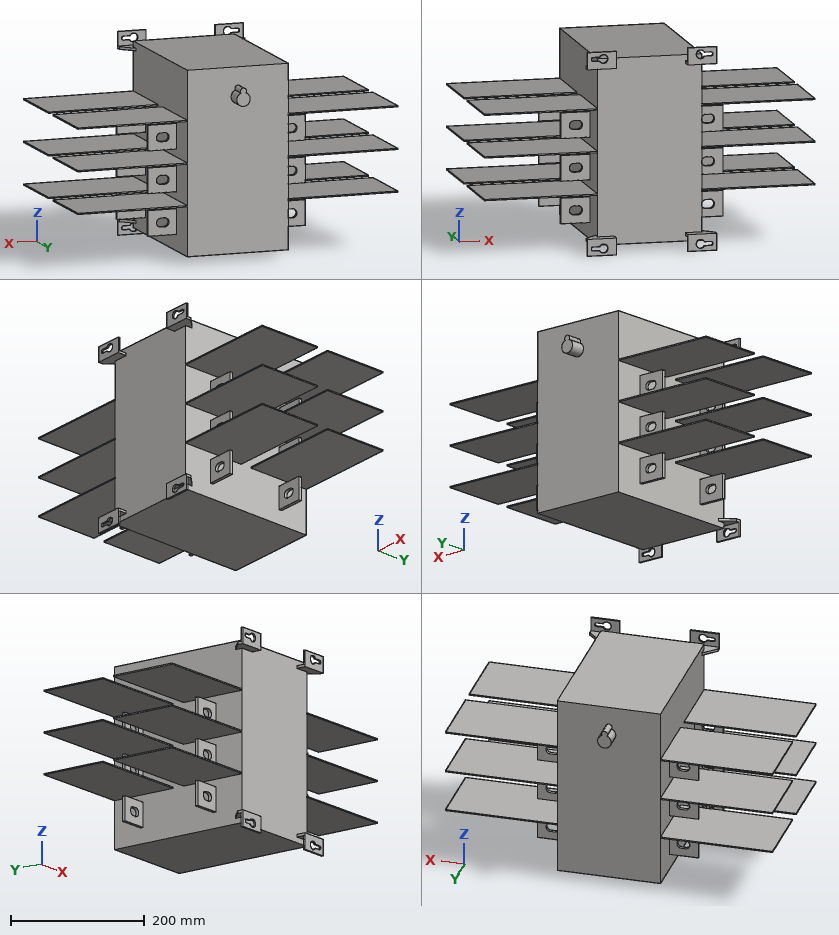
import cadquery as cq

body_width = 161.0
body_depth = 240.0
body_height = 285.0
overall_height = 311.0
body_side = body_width / 2
body_front = -body_depth / 2
body_back = body_depth / 2
body_top = body_height / 2

barrier_span = 509.0
barrier_thickness = 2.0
barrier_gap = 20.0
barrier_depth = (body_depth - barrier_gap) / 2
pole_pitch = 65.0
pole_count = 3

terminal_span = 250.5
terminal_height = 39.0
terminal_thickness = 5.0
terminal_spacing = 137.0
terminal_slot_spacing = 203.5
terminal_slot_length = 20.0
terminal_slot_width = 13.5

bracket_reach = 100.0
bracket_width = 45.0
bracket_inner = bracket_reach - bracket_width
bracket_projection = 16.0
bracket_overhang = (overall_height - body_height) / 2
bracket_height = 26.0
plate_thickness = 3.0
leg_thickness = 4.0
bracket_front = body_front - bracket_projection
bracket_top = body_top + bracket_overhang
bracket_bottom = bracket_top - bracket_height
bracket_straight_edge = 9.0

keyhole_x = 75.0
keyhole_drop = 10.5
keyhole_diameter = 13.0
keyhole_slot_width = 6.0
keyhole_slot_end = 93.5
keyhole_slot_length = keyhole_slot_end - keyhole_x

shaft_radius = 10.5
shaft_length = 25.0
shaft_z = 97.0
rib_radius = 4.85
rib_top = 17.5


def block(width, depth, height, centre):
    return cq.Workplane("XY").box(width, depth, height).translate(centre)


def pole_level(index):
    """Height of a barrier, counted from the top pole down."""
    return ((pole_count - 1) / 2 - index) * pole_pitch


def barriers(level):
    barrier_y = (barrier_gap + barrier_depth) / 2
    front = block(barrier_span, barrier_depth, barrier_thickness, (0, -barrier_y, level))
    back = block(barrier_span, barrier_depth, barrier_thickness, (0, barrier_y, level))
    return front.union(back)


def terminals(level):
    """Front and back bars run through the housing and carry a slot at each end."""
    slots = (
        cq.Workplane("XZ")
        .pushPoints([(-terminal_slot_spacing / 2, level), (terminal_slot_spacing / 2, level)])
        .slot2D(terminal_slot_length, terminal_slot_width)
        .extrude(body_depth, both=True)
    )
    front_y = -terminal_spacing / 2
    back_y = terminal_spacing / 2
    front = block(terminal_span, terminal_thickness, terminal_height, (0, front_y, level))
    back = block(terminal_span, terminal_thickness, terminal_height, (0, back_y, level))
    return front.union(back).cut(slots)


def bracket():
    """Upper right bracket: upright plate with a keyhole, and a leg tapering at 45 degrees."""
    plate = block(
        bracket_width,
        plate_thickness,
        bracket_height,
        (
            bracket_inner + bracket_width / 2,
            bracket_front + plate_thickness / 2,
            bracket_bottom + bracket_height / 2,
        ),
    )
    taper_start = bracket_front + bracket_straight_edge
    taper_end = taper_start + bracket_reach - body_side
    leg = (
        cq.Workplane("XY", origin=(0, 0, bracket_bottom))
        .moveTo(bracket_inner, bracket_front)
        .lineTo(bracket_reach, bracket_front)
        .lineTo(bracket_reach, taper_start)
        .lineTo(body_side, taper_end)
        .lineTo(bracket_inner, taper_end)
        .close()
        .extrude(leg_thickness)
    )
    keyhole_plane = cq.Workplane("XZ", origin=(keyhole_x, bracket_front, bracket_top - keyhole_drop))
    keyhole = keyhole_plane.circle(keyhole_diameter / 2).extrude(-plate_thickness)
    keyhole_slot = (
        keyhole_plane.center(keyhole_slot_length / 2, 0)
        .slot2D(keyhole_slot_length, keyhole_slot_width)
        .extrude(-plate_thickness)
    )
    return plate.cut(keyhole).cut(keyhole_slot).union(leg)


def shaft():
    """Round shaft with a smaller round rib along its upper side."""
    end_plane = cq.Workplane("XZ", origin=(0, body_back, shaft_z))
    core = end_plane.circle(shaft_radius).extrude(-shaft_length)
    rib = end_plane.center(0, rib_top - rib_radius).circle(rib_radius).extrude(-shaft_length)
    return core.union(rib)


result = cq.Workplane("XY").box(body_width, body_depth, body_height)

for pole in range(pole_count):
    barrier_level = pole_level(pole)
    result = result.union(barriers(barrier_level))
    result = result.union(terminals(barrier_level - pole_pitch / 2))

right_brackets = bracket().union(bracket().mirror("XY"))
result = result.union(right_brackets).union(right_brackets.mirror("YZ"))
result = result.union(shaft())